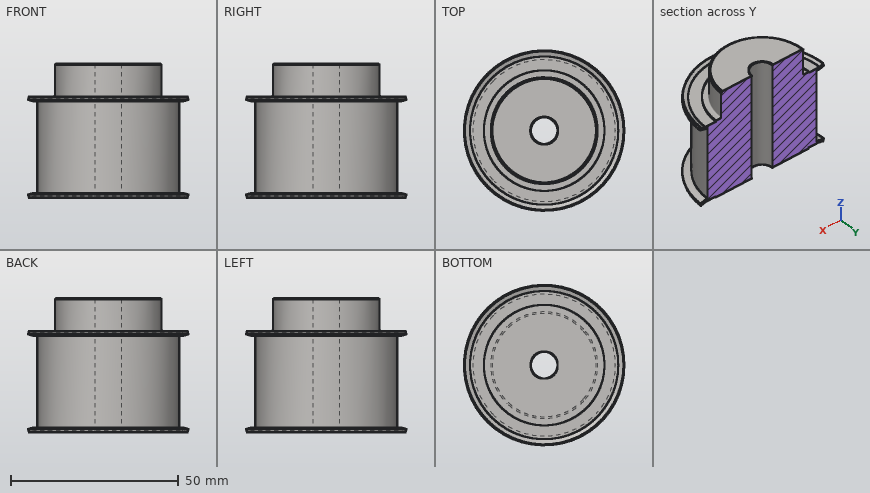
import cadquery as cq

total_height = 40.2
flanged_height = 30.3

flange_radius = 24.0
bend_radius = 22.2
rim_face_radius = 23.7
flange_height = 1.5
sheet_thickness = 0.95
rim_rise = flange_height - sheet_thickness

drum_radius = 21.25
collar_radius = 18.05
collar_step = 0.35
collar_inset = rim_rise - collar_step

hub_radius = 16.0
hub_chamfer = 0.5
hub_root_fillet = 0.45
bore_radius = 4.0
bore_chamfer = 0.2


def cylinder(radius, bottom, top):
    return cq.Workplane("XY").workplane(offset=bottom).circle(radius).extrude(top - bottom)


def make_flange():
    """Upper flange: a flat disc whose rim is bent upward, with its edge square to the bent sheet."""
    profile = [
        (0, 0),
        (bend_radius, 0),
        (flange_radius, rim_rise),
        (rim_face_radius, flange_height),
        (bend_radius, sheet_thickness),
        (0, sheet_thickness),
    ]
    return cq.Workplane("XZ").polyline(profile).close().revolve(360, (0, 0, 0), (0, 1, 0))


def make_hub_and_collar():
    collar_top = flanged_height - collar_inset
    collar = cylinder(collar_radius, collar_inset, collar_top)
    hub = cylinder(hub_radius, collar_top, total_height).faces(">Z").chamfer(hub_chamfer)
    root_edge = cq.selectors.BoxSelector(
        (-flange_radius, -flange_radius, collar_top - collar_step / 2),
        (flange_radius, flange_radius, collar_top + collar_step / 2),
        boundingbox=True,
    )
    root_circle = cq.selectors.RadiusNthSelector(0)
    return collar.union(hub).edges(root_edge).edges(root_circle).fillet(hub_root_fillet)


def make_bore():
    """Through bore with a countersunk mouth at the hub face."""
    mouth = (
        cq.Workplane("XY")
        .workplane(offset=total_height - bore_chamfer)
        .circle(bore_radius)
        .workplane(offset=bore_chamfer)
        .circle(bore_radius + bore_chamfer)
        .loft(ruled=True)
    )
    return cylinder(bore_radius, 0, total_height).union(mouth)


upper_flange = make_flange().translate((0, 0, flanged_height - flange_height))
lower_flange = make_flange().mirror("XY").translate((0, 0, flange_height))
drum = cylinder(drum_radius, flange_height, flanged_height - flange_height)

result = (
    drum.union(upper_flange)
    .union(lower_flange)
    .union(make_hub_and_collar())
    .cut(make_bore())
)